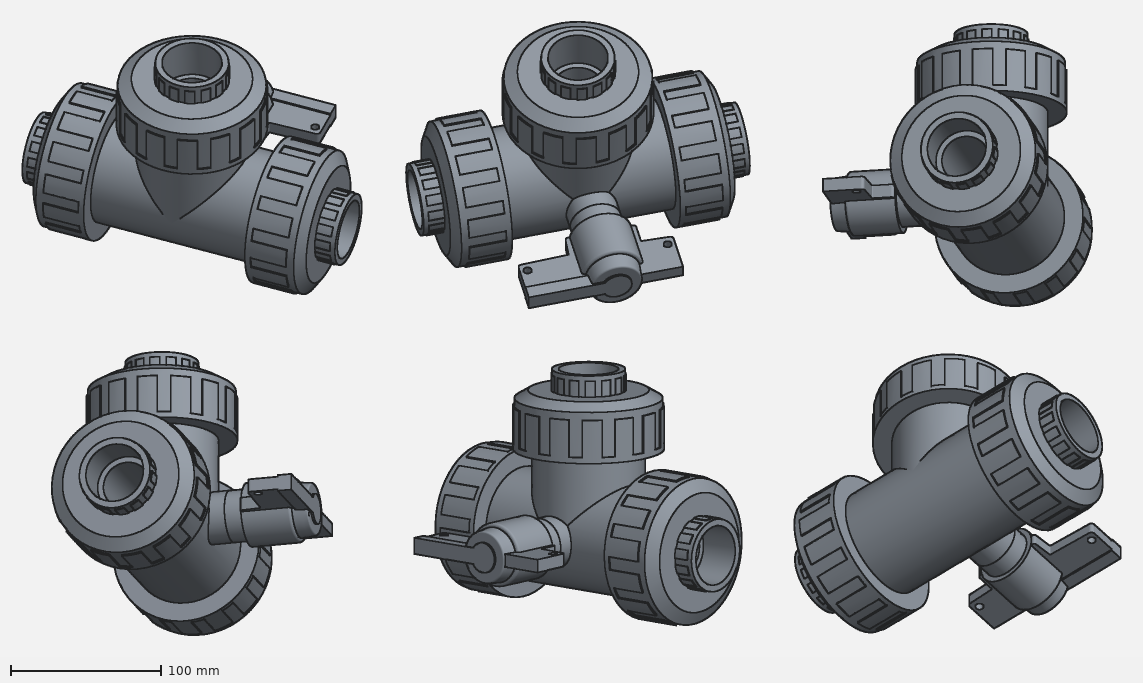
import cadquery as cq
import math

PORT_REACH = 112.0
BODY_DIAMETER = 75.75
BORE_DIAMETER = 32.0

NUT_DIAMETER = 98.98
NUT_RIB_DIAMETER = 101.0
NUT_FACE_DIAMETER = 80.8
NUT_BACK = 57.7
NUT_LENGTH = 40.0
NUT_FACE = NUT_BACK + NUT_LENGTH
NUT_BEVEL_LENGTH = 5.4
NUT_COLLAR_LENGTH = 4.0
NUT_RIB_END = 87.0

SOCKET_DIAMETER = 49.0
SOCKET_RIB_DIAMETER = 50.0
SOCKET_LIP_LENGTH = 3.5
SOCKET_RIB_END = PORT_REACH - SOCKET_LIP_LENGTH
PIPE_DIAMETER = 40.0
PIPE_DEPTH = 28.0

RIB_COUNT = 14
RIB_PITCH = 360.0 / RIB_COUNT
RIB_ANGLE = 0.6 * RIB_PITCH
FIRST_RIB_ANGLE = -90.0 - RIB_ANGLE
GAP_TOOL_MARGIN = 2.0

SPINDLE_DIAMETER = 34.98
SPINDLE_BOSS_DIAMETER = 35.0
SPINDLE_BOSS_END = 48.5
HUB_DIAMETER = 43.0
HUB_START = 61.0
HUB_END = 95.5
HUB_EDGE_FILLET = 2.0
CAP_BASE_DIAMETER = 37.6
CAP_TOP_DIAMETER = 35.2
CAP_END = 106.2
CAP_EDGE_FILLET = 1.3

PLATE_THICKNESS = 8.8
PLATE_LEFT = -46.0
PLATE_RIGHT = 60.6
PLATE_LEFT_TOP = 104.9
PLATE_TIP_BOTTOM = 77.0
PLATE_ROOT_BOTTOM = 76.0
SKIRT_SETBACK = 0.2
SKIRT_BOTTOM = HUB_START + SKIRT_SETBACK
SKIRT_LEFT = -24.3
SKIRT_RIGHT_TOP = 25.4
SKIRT_RIGHT_BOTTOM = 24.1
WING_FILLET = 2.4
SKIRT_FILLET = 2.0
ROOT_FILLET = 0.6
HANDLE_TOP = 107.5
HOLE_DIAMETER = 5.5
HOLE_INSET = 5.2
HOLE_Y = 83.1

RIM_THICKNESS = 11.0
RIM_BOTTOM = 98.1
BUTTON_DIAMETER = 20.4


def cylinder_z(diameter, start, end):
    return cq.Workplane("XY", origin=(0, 0, start)).circle(diameter / 2).extrude(end - start)


def cylinder_y(diameter, start, end):
    return cq.Workplane("XZ", origin=(0, start, 0)).circle(diameter / 2).extrude(start - end)


def point_at(radius, degrees):
    angle = math.radians(degrees)
    return (radius * math.cos(angle), radius * math.sin(angle))


def rib_gaps(diameter, start, end):
    """Tapered blocks around the Z axis that fill the gaps between ribs on the given diameter."""
    inner = diameter / 2 - GAP_TOOL_MARGIN
    outer = diameter / 2 + GAP_TOOL_MARGIN
    gap_start = FIRST_RIB_ANGLE + RIB_ANGLE
    gap_end = FIRST_RIB_ANGLE + RIB_PITCH
    corners = [
        point_at(inner, gap_start),
        point_at(outer, gap_start),
        point_at(outer, gap_end),
        point_at(inner, gap_end),
    ]
    gap = cq.Workplane("XY", origin=(0, 0, start)).polyline(corners).close().extrude(end - start)
    return [gap.rotate((0, 0, 0), (0, 0, 1), index * RIB_PITCH) for index in range(RIB_COUNT)]


def make_port():
    """Union nut and pipe socket on the +Z axis, still solid inside."""
    nut_grip = cylinder_z(NUT_RIB_DIAMETER, NUT_BACK, NUT_RIB_END)
    for gap in rib_gaps(NUT_RIB_DIAMETER, NUT_BACK + NUT_COLLAR_LENGTH, NUT_RIB_END):
        nut_grip = nut_grip.cut(gap)
    nut_core = (
        cylinder_z(NUT_DIAMETER, NUT_BACK, NUT_FACE)
        .faces(">Z")
        .chamfer(NUT_BEVEL_LENGTH, (NUT_DIAMETER - NUT_FACE_DIAMETER) / 2)
    )
    socket_grip = cylinder_z(SOCKET_RIB_DIAMETER, NUT_FACE, SOCKET_RIB_END)
    for gap in rib_gaps(SOCKET_RIB_DIAMETER, NUT_FACE, SOCKET_RIB_END):
        socket_grip = socket_grip.cut(gap)
    socket_core = cylinder_z(SOCKET_DIAMETER, NUT_FACE, PORT_REACH)
    return nut_grip.union(nut_core).union(socket_core.union(socket_grip))


def make_port_bore():
    bore = cylinder_z(BORE_DIAMETER, 0, PORT_REACH)
    return bore.union(cylinder_z(PIPE_DIAMETER, PORT_REACH - PIPE_DEPTH, PORT_REACH))


def turned_to_ports(shape):
    """Copies of a +Z shape on the branch and on both ends of the run."""
    return [shape.rotate((0, 0, 0), (0, 1, 0), angle) for angle in (0, -90, 90)]


def make_hub():
    hub = cylinder_y(HUB_DIAMETER, HUB_START, HUB_END).faces(">Y").edges().fillet(HUB_EDGE_FILLET)
    cap_taper = math.degrees(math.atan2((CAP_BASE_DIAMETER - CAP_TOP_DIAMETER) / 2, CAP_END - HUB_END))
    cap = (
        cq.Workplane("XZ", origin=(0, HUB_END, 0))
        .circle(CAP_BASE_DIAMETER / 2)
        .extrude(HUB_END - CAP_END, taper=cap_taper)
        .faces(">Y")
        .edges()
        .fillet(CAP_EDGE_FILLET)
    )
    button = cylinder_y(BUTTON_DIAMETER, HUB_END, HANDLE_TOP)
    return hub.union(cap).union(button)


def make_plate():
    plate = (
        cq.Workplane("XY", origin=(0, 0, -PLATE_THICKNESS / 2))
        .moveTo(PLATE_LEFT, PLATE_LEFT_TOP)
        .lineTo(PLATE_LEFT, PLATE_TIP_BOTTOM)
        .lineTo(SKIRT_LEFT, PLATE_ROOT_BOTTOM)
        .lineTo(SKIRT_LEFT, SKIRT_BOTTOM)
        .lineTo(SKIRT_RIGHT_BOTTOM, SKIRT_BOTTOM)
        .lineTo(SKIRT_RIGHT_TOP, PLATE_ROOT_BOTTOM)
        .lineTo(PLATE_RIGHT, PLATE_TIP_BOTTOM)
        .lineTo(PLATE_RIGHT, HANDLE_TOP)
        .lineTo(0, HANDLE_TOP)
        .lineTo(0, PLATE_LEFT_TOP)
        .close()
        .extrude(PLATE_THICKNESS)
    )
    wing_tips = [(PLATE_LEFT, PLATE_TIP_BOTTOM, 0), (PLATE_RIGHT, PLATE_TIP_BOTTOM, 0)]
    skirt_corners = [(SKIRT_LEFT, SKIRT_BOTTOM, 0), (SKIRT_RIGHT_BOTTOM, SKIRT_BOTTOM, 0)]
    wing_roots = [(SKIRT_LEFT, PLATE_ROOT_BOTTOM, 0), (SKIRT_RIGHT_TOP, PLATE_ROOT_BOTTOM, 0)]
    rounded = ((wing_tips, WING_FILLET), (skirt_corners, SKIRT_FILLET), (wing_roots, ROOT_FILLET))
    for corners, radius in rounded:
        for corner in corners:
            plate = plate.edges(cq.selectors.NearestToPointSelector(corner)).fillet(radius)
    holes = (
        cq.Workplane("XY", origin=(0, 0, -PLATE_THICKNESS / 2))
        .pushPoints([(PLATE_LEFT + HOLE_INSET, HOLE_Y), (PLATE_RIGHT - HOLE_INSET, HOLE_Y)])
        .circle(HOLE_DIAMETER / 2)
        .extrude(PLATE_THICKNESS)
    )
    return plate.cut(holes)


def make_rim():
    """Rim from the spindle axis to the wing tip."""
    return cq.Workplane("XY", origin=(0, RIM_BOTTOM, 0)).box(
        PLATE_RIGHT, HANDLE_TOP - RIM_BOTTOM, RIM_THICKNESS, centered=(False, False, True)
    )


def make_valve():
    tube = cylinder_z(BODY_DIAMETER, 0, NUT_BACK)
    run = cylinder_z(BODY_DIAMETER, -NUT_BACK, NUT_BACK).rotate((0, 0, 0), (0, 1, 0), 90)
    valve = run.union(tube)
    for port in turned_to_ports(make_port()):
        valve = valve.union(port)
    valve = valve.union(cylinder_y(SPINDLE_BOSS_DIAMETER, 0, SPINDLE_BOSS_END))
    valve = valve.union(cylinder_y(SPINDLE_DIAMETER, SPINDLE_BOSS_END, HUB_START))
    for bore in turned_to_ports(make_port_bore()):
        valve = valve.cut(bore)
    handle = make_hub().union(make_plate()).union(make_rim())
    return valve.union(handle)


result = make_valve()